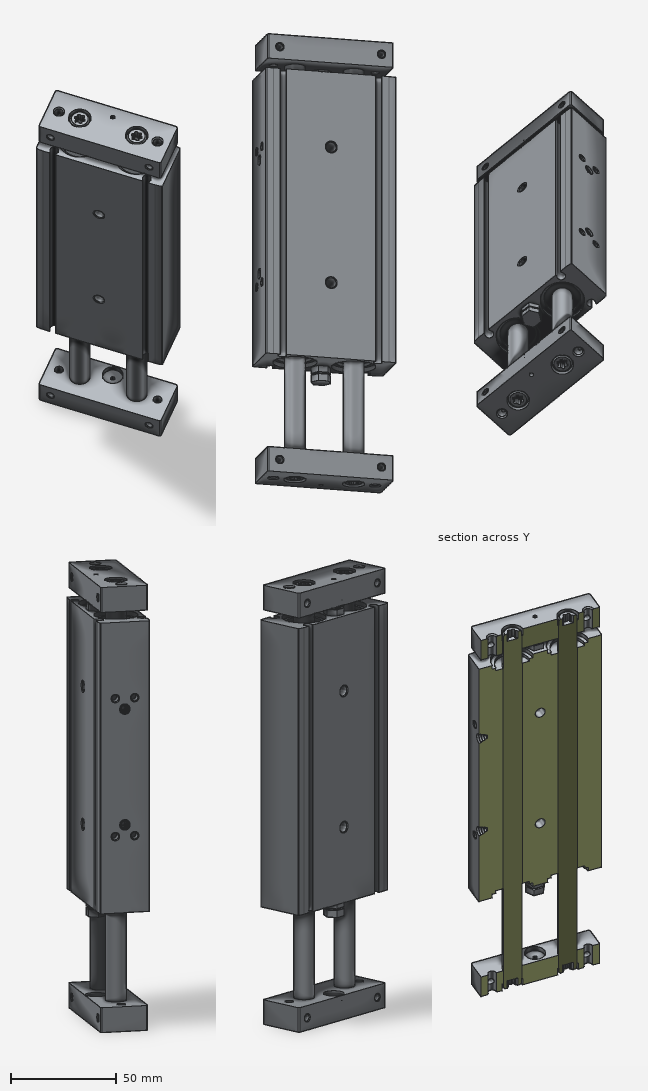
import cadquery as cq
import math

TOTAL_HEIGHT = 215.8
HOUSING_WIDTH = 64.0
HOUSING_DEPTH = 25.0
HOUSING_BOTTOM = 57.8
TOP_CLEARANCE = 17.0
HOUSING_TOP = TOTAL_HEIGHT - TOP_CLEARANCE
HOUSING_LENGTH = HOUSING_TOP - HOUSING_BOTTOM

CORNER_CHAMFER = 0.5
CROWN_START = 28.5
CROWN_DROP = 0.32
GROOVE_X = 23.5
GROOVE_DIAMETER = 4.0
GROOVE_OPENING = 3.0
GROOVE_SINK = 2.2

MOUNT_HOLE_DIAMETER = 5.0
MOUNT_SINK_DIAMETER = 5.8
MOUNT_HOLE_HEIGHTS = (95.0, 161.8)
SIDE_HOLE_OFFSET = 4.7
SIDE_HOLE_DIAMETER = 3.2
SIDE_HOLE_SINK_DIAMETER = 4.0
SIDE_HOLE_DEPTH = 4.3
AIR_PORT_SHIFT = 5.5
AIR_PORT_DIAMETERS = (5.0, 4.0, 3.2, 2.0)
AIR_PORT_STEP = 1.0
GLAND_MOUTH_DIAMETER = 21.0
GLAND_MOUTH_DEPTH = 2.2
GLAND_DIAMETER = 17.3
GLAND_DEPTH = 3.7

ROD_X = 14.5
ROD_DIAMETER = 10.0
ROD_TIP_DIAMETER = 9.5
ROD_TIP_END_DIAMETER = 8.0
ROD_TIP_LENGTH = 3.2
ROD_TIP_SINK = 0.6
SOCKET_TIP_DIAMETER = 5.5
SOCKET_CORE_DIAMETER = 4.0
SOCKET_LOBE_DIAMETER = 1.3
SOCKET_LOBES = 6
SOCKET_DEPTH = 4.3

PLATE_WIDTH = 62.0
PLATE_DEPTH = 23.0
PLATE_THICKNESS = 12.0
PLATE_CHAMFER = 0.6
ROD_RELIEF_DIAMETER = 10.5
ROD_RELIEF_DEPTH = ROD_TIP_LENGTH + ROD_TIP_SINK
END_HOLE_X = 25.0
END_HOLE_DIAMETER = 4.0
END_HOLE_SINK_DIAMETER = 5.5
CROSS_HOLE_DIAMETER = 3.2
CROSS_HOLE_SINK_DIAMETER = 4.0
VENT_DIAMETER = 2.0

BUMPER_Y = 6.0
BUMPER_CORNERS = 9.7
BUMPER_NECK_DIAMETER = 7.0
BUMPER_NUT_HEIGHT = 3.0
BUMPER_NECK_HEIGHT = 0.9
BUMPER_HEAD_HEIGHT = 3.5
BUMPER_HEIGHT = BUMPER_NUT_HEIGHT + BUMPER_NECK_HEIGHT + BUMPER_HEAD_HEIGHT
BUMPER_POCKET_DIAMETER = 10.0
BUMPER_POCKET_DEPTH = 2.5


def cylinder(diameter, length, base, direction):
    """Cylinder that starts at `base` and runs along `direction`."""
    return cq.Workplane(cq.Solid.makeCylinder(diameter / 2, length, cq.Vector(*base), cq.Vector(*direction)))


def countersink(mouth_diameter, hole_diameter, mouth, direction):
    """45 degree cone that widens a hole from `hole_diameter` to `mouth_diameter` at its mouth."""
    depth = (mouth_diameter - hole_diameter) / 2
    return cq.Workplane(
        cq.Solid.makeCone(mouth_diameter / 2, hole_diameter / 2, depth, cq.Vector(*mouth), cq.Vector(*direction))
    )


def housing_blank():
    half_width = HOUSING_WIDTH / 2
    half_depth = HOUSING_DEPTH / 2
    crown_end = half_width - CORNER_CHAMFER
    crown_edge = half_depth - CROWN_DROP
    side_edge = crown_edge - CORNER_CHAMFER
    crown_middle = (CROWN_START + crown_end) / 2
    crown_rise = half_depth - CROWN_DROP / 4

    outline = (
        cq.Workplane("XY", origin=(0, 0, HOUSING_BOTTOM))
        .moveTo(-CROWN_START, -half_depth)
        .lineTo(CROWN_START, -half_depth)
        .threePointArc((crown_middle, -crown_rise), (crown_end, -crown_edge))
        .lineTo(half_width, -side_edge)
        .lineTo(half_width, side_edge)
        .lineTo(crown_end, crown_edge)
        .threePointArc((crown_middle, crown_rise), (CROWN_START, half_depth))
        .lineTo(-CROWN_START, half_depth)
        .threePointArc((-crown_middle, crown_rise), (-crown_end, crown_edge))
        .lineTo(-half_width, side_edge)
        .lineTo(-half_width, -side_edge)
        .lineTo(-crown_end, -crown_edge)
        .threePointArc((-crown_middle, -crown_rise), (-CROWN_START, -half_depth))
        .close()
    )
    return outline.extrude(HOUSING_LENGTH)


def make_housing():
    body = housing_blank()
    half_width = HOUSING_WIDTH / 2
    half_depth = HOUSING_DEPTH / 2

    for x in (-GROOVE_X, GROOVE_X):
        for side in (-1, 1):
            groove_y = side * (half_depth - GROOVE_SINK)
            mouth_y = side * (half_depth - GROOVE_SINK / 2)
            mouth = cq.Workplane("XY", origin=(x, mouth_y, HOUSING_BOTTOM)).rect(GROOVE_OPENING, GROOVE_SINK)
            body = body.cut(cylinder(GROOVE_DIAMETER, HOUSING_LENGTH, (x, groove_y, HOUSING_BOTTOM), (0, 0, 1)))
            body = body.cut(mouth.extrude(HOUSING_LENGTH))

    for z in MOUNT_HOLE_HEIGHTS:
        body = body.cut(cylinder(MOUNT_HOLE_DIAMETER, HOUSING_DEPTH, (0, -half_depth, z), (0, 1, 0)))
        for side in (-1, 1):
            body = body.cut(
                countersink(MOUNT_SINK_DIAMETER, MOUNT_HOLE_DIAMETER, (0, side * half_depth, z), (0, -side, 0))
            )

    into_side = (1, 0, 0)
    for z, inward in zip(MOUNT_HOLE_HEIGHTS, (1, -1)):
        for y in (-SIDE_HOLE_OFFSET, SIDE_HOLE_OFFSET):
            mouth = (-half_width, y, z)
            body = body.cut(cylinder(SIDE_HOLE_DIAMETER, SIDE_HOLE_DEPTH, mouth, into_side))
            body = body.cut(countersink(SIDE_HOLE_SINK_DIAMETER, SIDE_HOLE_DIAMETER, mouth, into_side))
        for step, diameter in enumerate(AIR_PORT_DIAMETERS, start=1):
            mouth = (-half_width, 0, z + inward * AIR_PORT_SHIFT)
            body = body.cut(cylinder(diameter, step * AIR_PORT_STEP, mouth, into_side))

    for x in (-ROD_X, ROD_X):
        body = body.cut(cylinder(ROD_DIAMETER, HOUSING_LENGTH, (x, 0, HOUSING_BOTTOM), (0, 0, 1)))
        for z, direction in ((HOUSING_BOTTOM, 1), (HOUSING_TOP, -1)):
            end = (x, 0, z)
            inward = (0, 0, direction)
            body = body.cut(cylinder(GLAND_MOUTH_DIAMETER, GLAND_MOUTH_DEPTH, end, inward))
            body = body.cut(cylinder(GLAND_DIAMETER, GLAND_DEPTH, end, inward))
    return body


def make_socket(x, base_z):
    """Drive socket made of a round core with six round lobes."""
    up = (0, 0, 1)
    socket = cylinder(SOCKET_CORE_DIAMETER, SOCKET_DEPTH, (x, 0, base_z), up)
    lobe_radius = (SOCKET_TIP_DIAMETER - SOCKET_LOBE_DIAMETER) / 2
    for lobe in range(SOCKET_LOBES):
        angle = 2 * math.pi * lobe / SOCKET_LOBES
        centre = (x + lobe_radius * math.cos(angle), lobe_radius * math.sin(angle), base_z)
        socket = socket.union(cylinder(SOCKET_LOBE_DIAMETER, SOCKET_DEPTH, centre, up))
    return socket


def make_rod(x):
    """Rod through both plates, with a reduced tip and a drive socket at each end."""
    tip_bottom = ROD_TIP_SINK
    tip_top = TOTAL_HEIGHT - ROD_TIP_SINK
    shank_length = TOTAL_HEIGHT - 2 * ROD_RELIEF_DEPTH
    rod = cylinder(ROD_TIP_DIAMETER, tip_top - tip_bottom, (x, 0, tip_bottom), (0, 0, 1))
    rod = rod.faces("<Z or >Z").chamfer((ROD_TIP_DIAMETER - ROD_TIP_END_DIAMETER) / 2)
    rod = rod.union(cylinder(ROD_DIAMETER, shank_length, (x, 0, ROD_RELIEF_DEPTH), (0, 0, 1)))
    for z in (tip_bottom, tip_top - SOCKET_DEPTH):
        rod = rod.cut(make_socket(x, z))
    return rod


def make_plate(outer_z, inward):
    """End plate whose outer face lies at `outer_z`; `inward` is the Z sense toward the housing."""
    inner_z = outer_z + inward * PLATE_THICKNESS
    plate = (
        cq.Workplane("XY", origin=(0, 0, min(outer_z, inner_z)))
        .box(PLATE_WIDTH, PLATE_DEPTH, PLATE_THICKNESS, centered=(True, True, False))
        .edges("|Z")
        .chamfer(PLATE_CHAMFER)
    )
    into_plate = (0, 0, inward)
    for side in (-1, 1):
        plate = plate.cut(cylinder(ROD_DIAMETER, PLATE_THICKNESS, (side * ROD_X, 0, outer_z), into_plate))
        plate = plate.cut(cylinder(ROD_RELIEF_DIAMETER, ROD_RELIEF_DEPTH, (side * ROD_X, 0, outer_z), into_plate))

        hole_x = side * END_HOLE_X
        middle_z = (outer_z + inner_z) / 2
        plate = plate.cut(cylinder(END_HOLE_DIAMETER, PLATE_THICKNESS, (hole_x, 0, outer_z), into_plate))
        plate = plate.cut(
            countersink(END_HOLE_SINK_DIAMETER, END_HOLE_DIAMETER, (hole_x, 0, outer_z), into_plate)
        )
        front = (hole_x, -PLATE_DEPTH / 2, middle_z)
        back = (hole_x, PLATE_DEPTH / 2, middle_z)
        plate = plate.cut(cylinder(CROSS_HOLE_DIAMETER, PLATE_DEPTH, front, (0, 1, 0)))
        plate = plate.cut(countersink(CROSS_HOLE_SINK_DIAMETER, CROSS_HOLE_DIAMETER, front, (0, 1, 0)))
        plate = plate.cut(countersink(CROSS_HOLE_SINK_DIAMETER, CROSS_HOLE_DIAMETER, back, (0, -1, 0)))

    plate = plate.cut(
        cylinder(BUMPER_POCKET_DIAMETER, BUMPER_POCKET_DEPTH, (0, BUMPER_Y, inner_z), (0, 0, -inward))
    )
    return plate.cut(cylinder(VENT_DIAMETER, PLATE_THICKNESS, (0, BUMPER_Y, outer_z), into_plate))


def bumper_hexagon(height, base_z):
    """Upright hexagon centred on the bumper axis, with two corners along X."""
    return cq.Workplane("XY", origin=(0, BUMPER_Y, base_z)).polygon(6, BUMPER_CORNERS).extrude(height)


def make_bumper(base_z, outward):
    """Hexagonal nut and head with a round neck between, standing on the housing end at `base_z`."""
    tip_z = base_z + outward * BUMPER_HEIGHT
    nut_end = base_z + outward * BUMPER_NUT_HEIGHT
    head_start = tip_z - outward * BUMPER_HEAD_HEIGHT
    nut = bumper_hexagon(BUMPER_NUT_HEIGHT, min(base_z, nut_end))
    head = bumper_hexagon(BUMPER_HEAD_HEIGHT, min(head_start, tip_z))
    neck = cylinder(BUMPER_NECK_DIAMETER, BUMPER_HEIGHT, (0, BUMPER_Y, base_z), (0, 0, outward))
    return nut.union(neck).union(head)


housing = make_housing()
rods = [make_rod(x) for x in (-ROD_X, ROD_X)]
plates = [make_plate(0, 1), make_plate(TOTAL_HEIGHT, -1)]
bumpers = [make_bumper(HOUSING_BOTTOM, -1), make_bumper(HOUSING_TOP, 1)]

result = cq.Compound.makeCompound([housing.val(), *[body.val() for body in rods + plates + bumpers]])